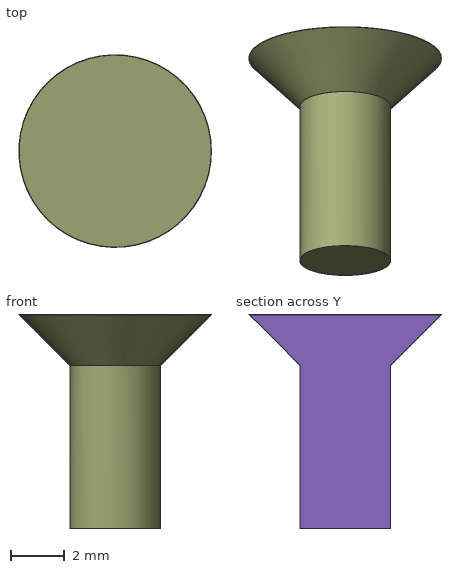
import cadquery as cq

head_diameter = 7.2
shank_diameter = 3.4
total_length = 8.0

head_radius = head_diameter / 2
shank_radius = shank_diameter / 2
head_height = head_radius - shank_radius
shank_length = total_length - head_height


def countersunk_pin():
    """Revolve the half profile of the shank and conical head about Z."""
    return (
        cq.Workplane("XZ")
        .moveTo(0, 0)
        .lineTo(shank_radius, 0)
        .lineTo(shank_radius, shank_length)
        .lineTo(head_radius, total_length)
        .lineTo(0, total_length)
        .close()
        .revolve(360, (0, 0, 0), (0, 1, 0))
    )


result = countersunk_pin()